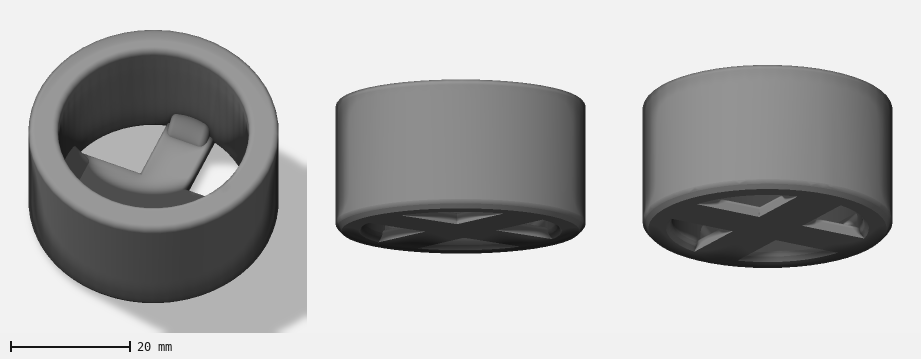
import cadquery as cq

outer_diameter = 42.0
bore_diameter = 32.0
height = 22.0
edge_size = 1.0

arm_width = 8.5
arm_height = 2 * edge_size
arm_edge_radius = 0.67

gusset_width = 7.05
gusset_foot_radius = 12.95

outer_radius = outer_diameter / 2
bore_radius = bore_diameter / 2
wall = outer_radius - bore_radius
embed_radius = bore_radius + wall / 2


def make_ring():
    """Tube with rounded top edges and softened chamfers around the bottom."""
    ring = cq.Workplane("XY").circle(outer_radius).circle(bore_radius).extrude(height)
    ring = ring.faces("<Z").edges().chamfer(edge_size)
    ring = ring.faces(">Z").edges().fillet(edge_size)
    chamfer_rims = cq.selectors.BoxSelector(
        (-outer_diameter, -outer_diameter, edge_size / 2),
        (outer_diameter, outer_diameter, edge_size * 1.5),
        boundingbox=False,
    )
    return ring.edges("%CIRCLE").edges(chamfer_rims).fillet(edge_size)


def make_cross():
    """Two crossing arms with rounded upper edges."""
    arm_length = 2 * embed_radius
    base = (True, True, False)
    arm_x = cq.Workplane("XY").box(arm_length, arm_width, arm_height, centered=base)
    arm_y = cq.Workplane("XY").box(arm_width, arm_length, arm_height, centered=base)
    return arm_x.union(arm_y).faces(">Z").edges().fillet(arm_edge_radius)


def make_gusset():
    """45 degree wedge on the +X arm with its two sloped edges rounded."""
    rise = embed_radius - gusset_foot_radius
    wedge = (
        cq.Workplane("XZ")
        .moveTo(gusset_foot_radius, arm_height)
        .lineTo(embed_radius, arm_height + rise)
        .lineTo(embed_radius, 0)
        .lineTo(gusset_foot_radius, 0)
        .close()
        .extrude(gusset_width / 2, both=True)
    )
    slope = wedge.faces(cq.selectors.DirectionMinMaxSelector(cq.Vector(-1, 0, 1), True))
    return slope.edges("not |Y").fillet(edge_size)


result = make_ring().union(make_cross())
gusset = make_gusset()
for angle in (0, 90, 180, 270):
    result = result.union(gusset.rotate((0, 0, 0), (0, 0, 1), angle))